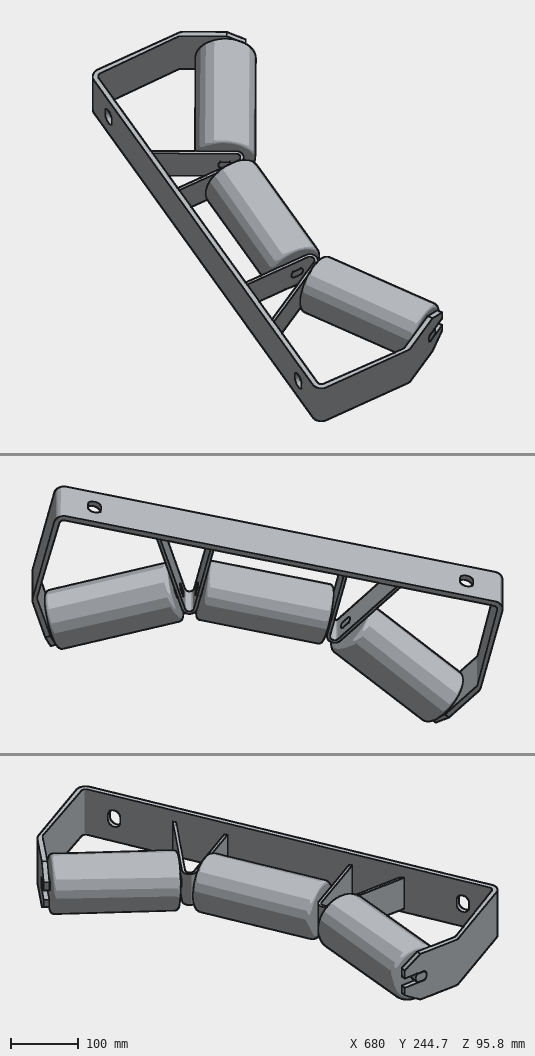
import cadquery as cq
import math

frame_width = 680.0
bar_height = 80.0
bar_thickness = 8.0
bar_bend_radius = 15.0
wall_height = 156.5
arm_length = 96.0
arm_bevel_length = 28.5
arm_bevel_depth = 18.5
mount_slot_width = 20.0
mount_slot_height = 28.5
mount_slot_spacing = 564.5

roller_length = 190.5
roller_radius = 45.0
roller_edge_radius = 6.0
roller_gap = 3.5
middle_roller_y = 100.5
inner_drop = 7.0
trough_angle = 30.0
tilt_angle = 1.8
arm_shaft_distance = 66.0

shaft_diameter = 20.0
shaft_flat_width = 14.0
arm_slot_width = 16.0

stand_thickness = 5.0
stand_bend_radius = 11.5
stand_top = 130.0
stand_height = 54.5

trough = math.radians(trough_angle)
along_arm = cq.Vector(math.sin(trough), math.cos(trough), 0)
inward = cq.Vector(math.cos(trough), -math.sin(trough), 0)
arm_corner = cq.Vector(-frame_width / 2, wall_height, 0)

side_roller_offset = bar_thickness + roller_gap + roller_length / 2
side_roller_rise = roller_length / 2 * math.sin(math.radians(tilt_angle))
side_roller_center = (
    arm_corner + along_arm * arm_shaft_distance + inward * side_roller_offset
    + cq.Vector(0, 0, side_roller_rise - inner_drop)
)

fold_center = cq.Vector(-(roller_length / 2 + roller_gap + stand_bend_radius), stand_top - stand_bend_radius, 0)
side_stand_offset = (fold_center - side_roller_center).dot(inward) - stand_bend_radius
middle_overhang = roller_gap + stand_thickness
side_inner_overhang = side_stand_offset - roller_length / 2 + stand_thickness
side_outer_overhang = roller_gap + bar_thickness


def double_flat_bar(width, start, end):
    """Round bar along X from start to end, with flats above and below."""
    length = end - start
    rod = cq.Workplane("YZ").workplane(offset=start).circle(shaft_diameter / 2).extrude(length)
    flats = cq.Workplane("XY").box(length, shaft_diameter, width).translate(((start + end) / 2, 0, 0))
    return rod.intersect(flats)


def make_roller(left_overhang, right_overhang):
    """Rounded drum along X, with a shaft that stands out at both ends."""
    drum = cq.Workplane("YZ").workplane(offset=-roller_length / 2).circle(roller_radius).extrude(roller_length)
    drum = drum.edges().fillet(roller_edge_radius)
    return drum.union(make_shaft(left_overhang, right_overhang))


def make_shaft(left_overhang, right_overhang):
    half_length = roller_length / 2
    return double_flat_bar(shaft_flat_width, -half_length - left_overhang, half_length + right_overhang)


def place_middle(body):
    return body.translate((0, middle_roller_y, -inner_drop))


def place_left(body):
    tilted = body.rotate((0, 0, 0), (0, 1, 0), tilt_angle)
    return tilted.rotate((0, 0, 0), (0, 0, 1), -trough_angle).translate(side_roller_center)


def mirror_to_right(body):
    return body.mirror("YZ")


def plan_points(points):
    return [(point.x, point.y) for point in points]


def make_arm_slot():
    """Open slot from the shaft seat to the arm tip, cut along the side roller's axis."""
    start = -roller_length / 2 - 2 * side_outer_overhang
    end = -roller_length / 2
    seat = double_flat_bar(arm_slot_width, start, end)
    mouth = (
        cq.Workplane("XY")
        .box(end - start, arm_length, arm_slot_width)
        .translate(((start + end) / 2, arm_length / 2, 0))
    )
    return place_left(seat.union(mouth))


def edges_near(body, points):
    """Select the edge closest to each point."""
    edges = [body.edges(cq.selectors.NearestToPointSelector(point)).val() for point in points]
    return body.newObject(edges)


def make_tip_bevels():
    """Wedges that come off the upper and lower corner of the left arm's tip."""
    tip_plane = cq.Plane(origin=arm_corner + along_arm * arm_length, xDir=along_arm, normal=inward)
    edge = bar_height / 2
    upper = (
        cq.Workplane(tip_plane)
        .polyline([(0, edge), (-arm_bevel_length, edge), (0, edge - arm_bevel_depth)])
        .close()
        .extrude(bar_thickness)
    )
    return upper.union(upper.mirror("XY"))


def make_frame():
    tip_outer = arm_corner + along_arm * arm_length
    tip_inner = tip_outer + inward * bar_thickness
    bend_inner = arm_corner + inward * bar_thickness - along_arm * bar_thickness * math.tan(trough / 2)
    inner_x = frame_width / 2 - bar_thickness

    left_outline = [cq.Vector(-frame_width / 2, 0, 0), arm_corner, tip_outer, tip_inner, bend_inner]
    left_points = plan_points(left_outline) + [(-inner_x, bar_thickness)]
    right_points = [(-x, y) for x, y in reversed(left_points)]
    frame = (
        cq.Workplane("XY")
        .polyline(left_points + right_points)
        .close()
        .extrude(bar_height / 2, both=True)
    )

    for side in (-1, 1):
        outer_bends = [(side * frame_width / 2, 0, 0), (side * frame_width / 2, wall_height, 0)]
        inner_bends = [(side * inner_x, bar_thickness, 0), (-side * bend_inner.x, bend_inner.y, 0)]
        frame = edges_near(frame, outer_bends).fillet(bar_bend_radius)
        frame = edges_near(frame, inner_bends).fillet(bar_bend_radius - bar_thickness)

    mount_slots = (
        cq.Workplane("XZ")
        .pushPoints([(-mount_slot_spacing / 2, 0), (mount_slot_spacing / 2, 0)])
        .slot2D(mount_slot_height, mount_slot_width, 90)
        .extrude(-bar_thickness)
    )
    frame = frame.cut(mount_slots)
    for arm_cut in (make_arm_slot(), make_tip_bevels()):
        frame = frame.cut(arm_cut).cut(mirror_to_right(arm_cut))
    return frame


def make_left_stand():
    """Plate folded over at the top, its feet on the base of the frame."""
    inner_radius = stand_bend_radius - stand_thickness

    def foot_x(radius):
        tangent = fold_center - inward * radius
        return tangent.x - (tangent.y - bar_thickness) * math.tan(trough)

    def fold_points(radius):
        sloped = fold_center - inward * radius
        start = (fold_center.x + radius, fold_center.y)
        top = (fold_center.x, fold_center.y + radius)
        return start, top, (sloped.x, sloped.y)

    outer_start, outer_top, outer_end = fold_points(stand_bend_radius)
    inner_start, inner_top, inner_end = fold_points(inner_radius)
    stand = (
        cq.Workplane("XY")
        .moveTo(outer_start[0], bar_thickness)
        .lineTo(*outer_start)
        .threePointArc(outer_top, outer_end)
        .lineTo(foot_x(stand_bend_radius), bar_thickness)
        .lineTo(foot_x(inner_radius), bar_thickness)
        .lineTo(*inner_end)
        .threePointArc(inner_top, inner_start)
        .lineTo(inner_start[0], bar_thickness)
        .close()
        .extrude(stand_height / 2, both=True)
        .translate((0, 0, -inner_drop))
    )

    middle_cut = middle_overhang + stand_thickness
    side_cut = side_inner_overhang + stand_thickness
    stand = stand.cut(place_middle(make_shaft(middle_cut, middle_cut)))
    return stand.cut(place_left(make_shaft(side_outer_overhang, side_cut)))


frame = make_frame()
middle_roller = place_middle(make_roller(middle_overhang, middle_overhang))
left_roller = place_left(make_roller(side_outer_overhang, side_inner_overhang))
left_stand = make_left_stand()

bodies = [frame.val(), middle_roller.val()]
for left_body in (left_roller, left_stand):
    bodies += [left_body.val(), mirror_to_right(left_body).val()]
result = cq.Compound.makeCompound(bodies)